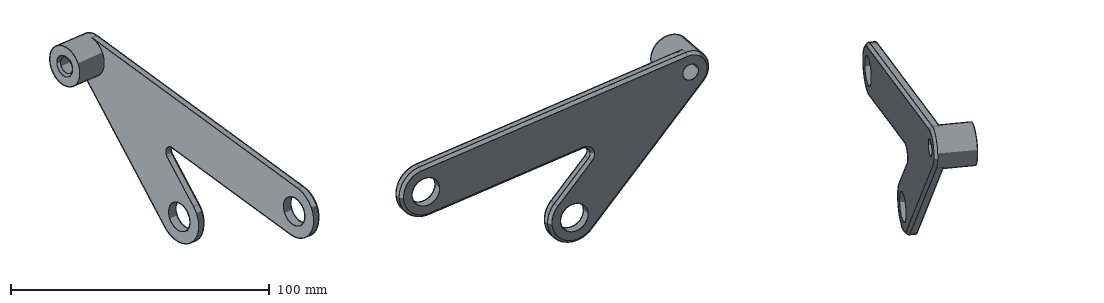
import cadquery as cq
import math

plate_thickness = 4.0
back_chamfer = 1.25
boss_radius = 17.0 / 2
boss_height = 13.0
boss_hole_diameter = 6.8
boss_hole_chamfer = 1.0
arm_end_radius = 11.0
arm_hole_diameter = 12.0
notch_radius = 3.0

long_arm_end = (115.43, -24.53)
short_arm_end = (50.7, -51.11)


def polar(center, radius, angle):
    """Point at the given distance and direction from a centre."""
    return (
        center[0] + radius * math.cos(angle),
        center[1] + radius * math.sin(angle),
    )


def outer_edge_angle(arm_end, side):
    """Direction of the line tangent to the boss and the arm end (side +1 above, -1 below)."""
    axis_angle = math.atan2(arm_end[1], arm_end[0])
    taper = math.asin((arm_end_radius - boss_radius) / math.hypot(*arm_end))
    return axis_angle + side * taper


quarter_turn = math.pi / 2
boss_center = (0.0, 0.0)
long_angle = outer_edge_angle(long_arm_end, 1)
short_angle = outer_edge_angle(short_arm_end, -1)
bisector_angle = (long_angle + short_angle) / 2
half_angle = (long_angle - short_angle) / 2

inner_edge_offset = 2 * arm_end_radius - boss_radius
notch_corner = polar(boss_center, inner_edge_offset / math.sin(half_angle), bisector_angle)

upper_tangent_point = polar(boss_center, boss_radius, long_angle + quarter_turn)
lower_tangent_point = polar(boss_center, boss_radius, short_angle - quarter_turn)
boss_outer_point = polar(boss_center, boss_radius, bisector_angle + math.pi)
boss_inner_point = polar(boss_center, boss_radius, bisector_angle)


def make_plate():
    """V-shaped plate with a rounded notch and a chamfered back edge."""
    plate = (
        cq.Workplane("XZ")
        .moveTo(*upper_tangent_point)
        .lineTo(*polar(long_arm_end, arm_end_radius, long_angle + quarter_turn))
        .threePointArc(
            polar(long_arm_end, arm_end_radius, long_angle),
            polar(long_arm_end, arm_end_radius, long_angle - quarter_turn),
        )
        .lineTo(*notch_corner)
        .lineTo(*polar(short_arm_end, arm_end_radius, short_angle + quarter_turn))
        .threePointArc(
            polar(short_arm_end, arm_end_radius, short_angle),
            polar(short_arm_end, arm_end_radius, short_angle - quarter_turn),
        )
        .lineTo(*lower_tangent_point)
        .threePointArc(boss_outer_point, upper_tangent_point)
        .close()
        .extrude(-plate_thickness)
    )
    notch_edge_point = (notch_corner[0], plate_thickness / 2, notch_corner[1])
    plate = plate.edges(cq.selectors.NearestToPointSelector(notch_edge_point)).fillet(notch_radius)
    return plate.faces(">Y").edges().chamfer(back_chamfer)


def make_boss():
    """Round boss standing out from the plate's front face.

    Its circle is split where the plate's edges touch it, so that the plate
    and the boss share exactly the same outer arc.
    """
    return (
        cq.Workplane("XZ")
        .moveTo(*lower_tangent_point)
        .threePointArc(boss_outer_point, upper_tangent_point)
        .threePointArc(boss_inner_point, lower_tangent_point)
        .close()
        .extrude(boss_height)
    )


def make_arm_holes():
    """Cutters for the through holes at the two arm ends."""
    return (
        cq.Workplane("XZ")
        .pushPoints([long_arm_end, short_arm_end])
        .circle(arm_hole_diameter / 2)
        .extrude(-plate_thickness)
    )


def make_boss_hole():
    """Cutter for the through hole in the boss, with a chamfered front mouth."""
    mouth_radius = boss_hole_diameter / 2 + boss_hole_chamfer
    profile = [
        (0, -boss_height),
        (mouth_radius, -boss_height),
        (boss_hole_diameter / 2, -boss_height + boss_hole_chamfer),
        (boss_hole_diameter / 2, plate_thickness),
        (0, plate_thickness),
    ]
    return cq.Workplane("XY").polyline(profile).close().revolve(360, (0, 0, 0), (0, 1, 0))


result = make_plate().union(make_boss()).cut(make_arm_holes()).cut(make_boss_hole())